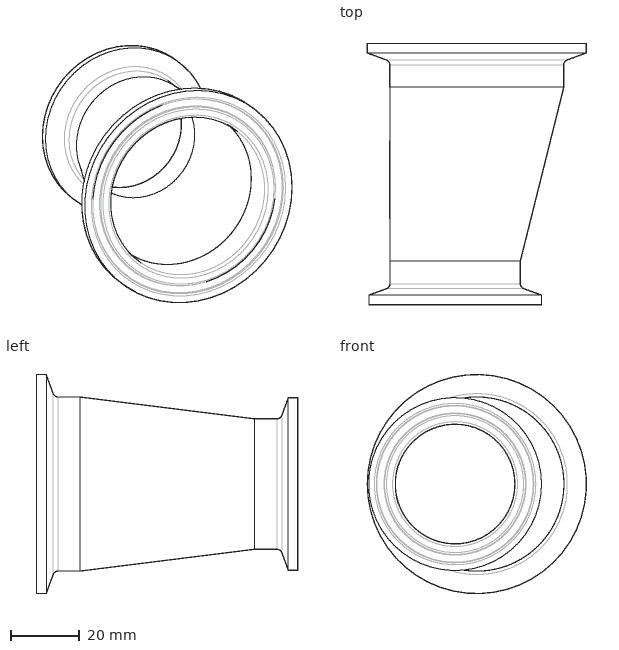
import cadquery as cq
import math


large_tube_radius = 50.8 / 2
small_tube_radius = 38.1 / 2
wall = 1.65
tube_offset = large_tube_radius - small_tube_radius

total_length = 76.2
ferrule_length = 12.7
cone_length = total_length - 2 * ferrule_length

large_flange_radius = 63.91 / 2
small_flange_radius = 50.39 / 2
rim_thickness = 2.845
clamp_angle = math.radians(20)
neck_fillet = 1.5
bore_lip_round = 0.8

large_groove_radius = 56.3 / 2
small_groove_radius = 43.5 / 2
groove_depth = 1.6
groove_half_width = 1.78
groove_edge_round = 0.6
groove_flank_angle = math.radians(70)

groove_corner = groove_half_width - groove_edge_round * math.tan(groove_flank_angle / 2)
groove_floor_corner = groove_corner - groove_depth / math.tan(groove_flank_angle)
groove_bottom_round = groove_floor_corner / math.tan(groove_flank_angle / 2)


def ferrule_body(tube_radius, flange_radius, groove_radius):
    """Ferrule revolved about Y, with its sealing face at Y = 0 and its tube toward +Y."""
    bore_radius = tube_radius - wall

    cone_meet = rim_thickness + (flange_radius - tube_radius) * math.tan(clamp_angle)
    turn = math.pi / 2 - clamp_angle
    neck_end = cone_meet + neck_fillet * math.tan(turn / 2)
    fillet_center = (tube_radius + neck_fillet, neck_end)

    def neck_point(angle):
        """Point on the neck fillet, turned by angle from its end on the tube."""
        return (
            fillet_center[0] - neck_fillet * math.cos(angle),
            fillet_center[1] - neck_fillet * math.sin(angle),
        )

    def groove_edge_point(side, angle):
        """Point on the rounded groove edge, side -1 inner or 1 outer, turned by angle from the face."""
        half_width = groove_half_width - groove_edge_round * math.sin(angle)
        return (groove_radius + side * half_width, groove_edge_round * (1 - math.cos(angle)))

    def groove_bottom_point(side):
        """Point where the flank runs into the round bottom."""
        half_width = groove_bottom_round * math.sin(groove_flank_angle)
        rise = groove_bottom_round * (1 - math.cos(groove_flank_angle))
        return (groove_radius + side * half_width, groove_depth - rise)

    lip_mid = bore_lip_round * (1 - math.sqrt(0.5))

    profile = (
        cq.Workplane("XY")
        .moveTo(bore_radius + bore_lip_round, 0)
        .lineTo(*groove_edge_point(-1, 0))
        .threePointArc(
            groove_edge_point(-1, groove_flank_angle / 2),
            groove_edge_point(-1, groove_flank_angle),
        )
        .lineTo(*groove_bottom_point(-1))
        .threePointArc((groove_radius, groove_depth), groove_bottom_point(1))
        .lineTo(*groove_edge_point(1, groove_flank_angle))
        .threePointArc(groove_edge_point(1, groove_flank_angle / 2), groove_edge_point(1, 0))
        .lineTo(flange_radius, 0)
        .lineTo(flange_radius, rim_thickness)
        .lineTo(*neck_point(turn))
        .threePointArc(neck_point(turn / 2), neck_point(0))
        .lineTo(tube_radius, ferrule_length)
        .lineTo(bore_radius, ferrule_length)
        .lineTo(bore_radius, bore_lip_round)
        .threePointArc((bore_radius + lip_mid, lip_mid), (bore_radius + bore_lip_round, 0))
        .close()
    )
    return profile.revolve(360, (0, 0, 0), (0, 1, 0))


def oblique_cone(small_radius, large_radius):
    """Solid skew cone between the inner ends of the two ferrules."""
    return (
        cq.Workplane("XZ", origin=(-tube_offset, ferrule_length, 0))
        .circle(small_radius)
        .workplane(offset=-cone_length)
        .center(tube_offset, 0)
        .circle(large_radius)
        .loft(ruled=True)
    )


small_ferrule = ferrule_body(small_tube_radius, small_flange_radius, small_groove_radius)
small_ferrule = small_ferrule.translate((-tube_offset, 0, 0))

large_ferrule = ferrule_body(large_tube_radius, large_flange_radius, large_groove_radius)
large_ferrule = large_ferrule.rotate((0, 0, 0), (0, 0, 1), 180).translate((0, total_length, 0))

reducing_cone = oblique_cone(small_tube_radius, large_tube_radius)
cone_bore = oblique_cone(small_tube_radius - wall, large_tube_radius - wall)
reducing_cone = reducing_cone.cut(cone_bore).solids()

result = cq.Compound.makeCompound([small_ferrule.val(), reducing_cone.val(), large_ferrule.val()])